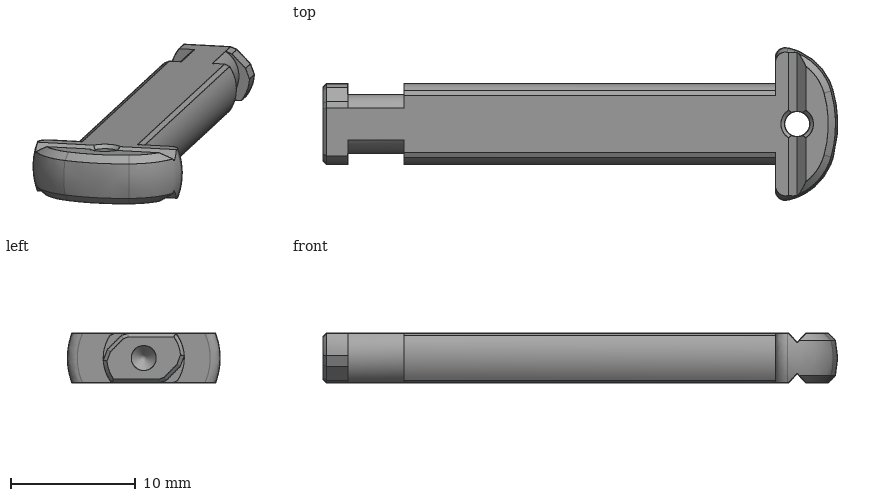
import cadquery as cq
import math

LENGTH = 41.25
THICKNESS = 4.0
HALF_THICKNESS = THICKNESS / 2

SHANK_RADIUS = 3.25
SHANK_FLAT_HALF_WIDTH = 2.28
SHANK_BEVEL_Z = 1.82
NECK_RADIUS = 2.375
NECK_START = 2.0
NECK_END = 6.5
TIP_CHAMFER = 0.3
CENTRE_HOLE_RADIUS = 1.0
CENTRE_HOLE_DEPTH = 1.0

RELIEF_TOP_Y = 1.28
RELIEF_UPPER_SETBACK = 0.2
RELIEF_DIAGONAL_SUM = 3.6
RELIEF_LOWER_Z = 0.68
RELIEF_SIDE_Z = -0.19

HEAD_LENGTH = 5.0
HEAD_START = LENGTH - HEAD_LENGTH
HEAD_HALF_WIDTH = 6.205
HEAD_CORNER_RADIUS = 0.8
CROWN_RADIUS = 10.0
RIM_BULGE = 0.36
RIM_CHAMFER_INSET = 0.76

GROOVE_X = 38.0
GROOVE_HALF_WIDTH = 0.7
GROOVE_DEPTH = 0.75
CROSS_HOLE_DIAMETER = 2.0
COUNTERSINK_DIAMETER = 2.6

CLEARANCE = 1.0


def slab(x_start, x_end):
    """A wide plate of the part's thickness between two X positions."""
    width = 4 * HEAD_HALF_WIDTH
    plate = cq.Workplane("XY").box(x_end - x_start, width, THICKNESS, centered=(False, True, True))
    return plate.translate((x_start, 0, 0))


def rod(radius, x_start, x_end):
    """A round bar on the X axis."""
    return cq.Workplane("YZ", origin=(x_start, 0, 0)).circle(radius).extrude(x_end - x_start)


def make_shank():
    """Round bar with flats above and below and a shallow bevel beside each flat."""
    bevel_y = math.sqrt(SHANK_RADIUS**2 - SHANK_BEVEL_Z**2)
    return (
        cq.Workplane("YZ", origin=(NECK_END, 0, 0))
        .moveTo(-SHANK_FLAT_HALF_WIDTH, HALF_THICKNESS)
        .lineTo(SHANK_FLAT_HALF_WIDTH, HALF_THICKNESS)
        .lineTo(bevel_y, SHANK_BEVEL_Z)
        .threePointArc((SHANK_RADIUS, 0), (bevel_y, -SHANK_BEVEL_Z))
        .lineTo(SHANK_FLAT_HALF_WIDTH, -HALF_THICKNESS)
        .lineTo(-SHANK_FLAT_HALF_WIDTH, -HALF_THICKNESS)
        .lineTo(-bevel_y, -SHANK_BEVEL_Z)
        .threePointArc((-SHANK_RADIUS, 0), (-bevel_y, SHANK_BEVEL_Z))
        .close()
        .extrude(HEAD_START - NECK_END)
    )


def make_neck():
    return rod(NECK_RADIUS, NECK_START, NECK_END).intersect(slab(NECK_START, NECK_END))


def make_tip():
    """Flattened disc with two diagonally opposite corners relieved and a conical centre hole."""
    flat_end_y = math.sqrt(SHANK_RADIUS**2 - HALF_THICKNESS**2)
    relief_side_y = math.sqrt(SHANK_RADIUS**2 - RELIEF_SIDE_Z**2)
    upper_z = HALF_THICKNESS - RELIEF_UPPER_SETBACK
    upper_y = RELIEF_DIAGONAL_SUM - upper_z
    lower_y = RELIEF_DIAGONAL_SUM - RELIEF_LOWER_Z
    arc_mid_angle = (math.atan2(RELIEF_SIDE_Z, relief_side_y) - math.atan2(HALF_THICKNESS, flat_end_y)) / 2
    arc_mid = (SHANK_RADIUS * math.cos(arc_mid_angle), SHANK_RADIUS * math.sin(arc_mid_angle))

    tip = (
        cq.Workplane("YZ")
        .moveTo(-flat_end_y, HALF_THICKNESS)
        .lineTo(RELIEF_TOP_Y, HALF_THICKNESS)
        .lineTo(upper_y, upper_z)
        .lineTo(lower_y, RELIEF_LOWER_Z)
        .lineTo(relief_side_y, RELIEF_SIDE_Z)
        .threePointArc(arc_mid, (flat_end_y, -HALF_THICKNESS))
        .lineTo(-RELIEF_TOP_Y, -HALF_THICKNESS)
        .lineTo(-upper_y, -upper_z)
        .lineTo(-lower_y, -RELIEF_LOWER_Z)
        .lineTo(-relief_side_y, -RELIEF_SIDE_Z)
        .threePointArc((-arc_mid[0], -arc_mid[1]), (-flat_end_y, HALF_THICKNESS))
        .close()
        .extrude(NECK_START)
        .faces("<X")
        .chamfer(TIP_CHAMFER)
    )
    cone = cq.Solid.makeCone(
        CENTRE_HOLE_RADIUS, 0, CENTRE_HOLE_DEPTH, pnt=cq.Vector(0, 0, 0), dir=cq.Vector(1, 0, 0)
    )
    return tip.cut(cq.Workplane(obj=cone))


def head_rim():
    """Open rim of the head: a shoulder arc on each side running tangent into a flatter crown arc."""
    crown_centre_x = LENGTH - CROWN_RADIUS
    centre_gap_x = HEAD_START - crown_centre_x
    shoulder_radius = (CROWN_RADIUS**2 - centre_gap_x**2 - HEAD_HALF_WIDTH**2) / (
        2 * (CROWN_RADIUS - HEAD_HALF_WIDTH)
    )
    shoulder_centre_y = HEAD_HALF_WIDTH - shoulder_radius
    join_angle = math.atan2(shoulder_centre_y, centre_gap_x)
    join_x = crown_centre_x + CROWN_RADIUS * math.cos(join_angle)
    join_y = CROWN_RADIUS * math.sin(join_angle)
    mid_angle = (join_angle + math.pi / 2) / 2
    mid_x = HEAD_START + shoulder_radius * math.cos(mid_angle)
    mid_y = shoulder_centre_y + shoulder_radius * math.sin(mid_angle)
    return (
        cq.Workplane("XY")
        .moveTo(HEAD_START, -HEAD_HALF_WIDTH)
        .threePointArc((mid_x, -mid_y), (join_x, -join_y))
        .threePointArc((LENGTH, 0), (join_x, join_y))
        .threePointArc((mid_x, mid_y), (HEAD_START, HEAD_HALF_WIDTH))
    )


def rim_bulge_cutter():
    """Sweep that leaves the rim bulging outward at mid thickness."""
    edge_y = -HEAD_HALF_WIDTH + RIM_BULGE
    outer_y = -HEAD_HALF_WIDTH - CLEARANCE
    section = (
        cq.Workplane("YZ", origin=(HEAD_START, 0, 0))
        .moveTo(edge_y, HALF_THICKNESS)
        .threePointArc((-HEAD_HALF_WIDTH, 0), (edge_y, -HALF_THICKNESS))
        .lineTo(outer_y, -HALF_THICKNESS)
        .lineTo(outer_y, HALF_THICKNESS)
        .close()
    )
    return section.sweep(head_rim())


def rim_chamfer_cutter():
    """Sweep of the 45 degree rim chamfer on the upper face, kept to the crown side of the groove."""
    inner_y = -HEAD_HALF_WIDTH + RIM_CHAMFER_INSET
    drop = RIM_CHAMFER_INSET + CLEARANCE
    section = (
        cq.Workplane("YZ", origin=(HEAD_START, 0, 0))
        .moveTo(inner_y, HALF_THICKNESS)
        .lineTo(inner_y - drop, HALF_THICKNESS - drop)
        .lineTo(inner_y - drop, HALF_THICKNESS)
        .close()
    )
    return section.sweep(head_rim()).intersect(slab(GROOVE_X, LENGTH + 2 * CLEARANCE))


def groove_cutter():
    """V groove across the upper face of the head."""
    return (
        cq.Workplane("XZ", origin=(GROOVE_X, 0, HALF_THICKNESS))
        .moveTo(-GROOVE_HALF_WIDTH, 0)
        .lineTo(0, -GROOVE_DEPTH)
        .lineTo(GROOVE_HALF_WIDTH, 0)
        .close()
        .extrude(2 * HEAD_HALF_WIDTH, both=True)
    )


def countersink_cutter():
    """45 degree countersink of the cross hole in the upper face."""
    radius = COUNTERSINK_DIAMETER / 2
    cone = cq.Solid.makeCone(
        radius, 0, radius, pnt=cq.Vector(GROOVE_X, 0, HALF_THICKNESS), dir=cq.Vector(0, 0, -1)
    )
    return cq.Workplane(obj=cone)


def make_head():
    blank = head_rim().close().extrude(HALF_THICKNESS, both=True)
    head = blank.cut(rim_bulge_cutter())
    head = head.faces("<X").edges("<Y or >Y").fillet(HEAD_CORNER_RADIUS)
    for cutter in (rim_chamfer_cutter(), groove_cutter(), countersink_cutter()):
        head = head.cut(cutter).cut(cutter.mirror("XY"))
    cross_hole = cq.Workplane("XY").center(GROOVE_X, 0).circle(CROSS_HOLE_DIAMETER / 2)
    return head.cut(cross_hole.extrude(HALF_THICKNESS, both=True))


result = make_tip().union(make_neck()).union(make_shank()).union(make_head())